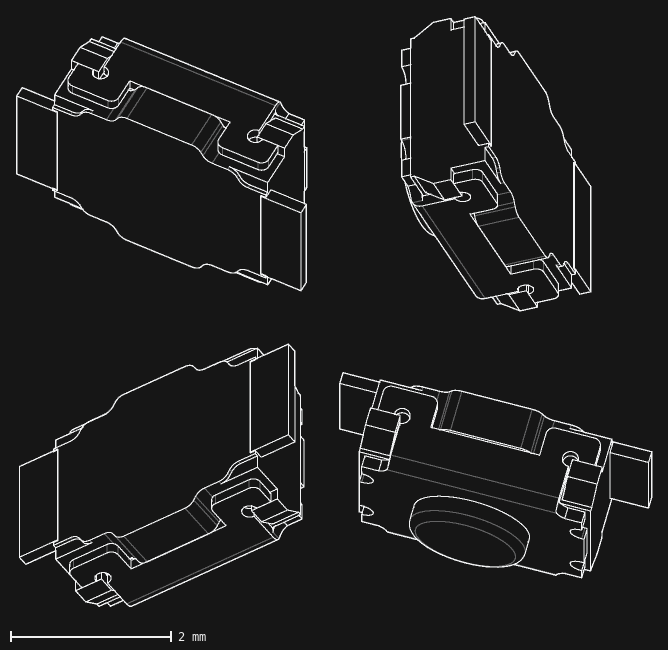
import cadquery as cq
import math


base_half_width = 1.5
base_half_height = 1.05
base_front = 0.0125
base_back = 1.06

tongue_half_width = 0.455
tongue_half_height = 1.25
tongue_back = 0.556

shoulder_radius = 0.15
shoulder_angle = math.radians(60)

relief_depth = 0.05
relief_inner_x = 0.96
relief_half_height = 0.85

lug_inner_x = 1.115
lug_front = 0.52
lug_flat_back = 0.755
lug_back = 1.01

terminal_end_x = 2.0
terminal_inner_x = 1.43
terminal_half_height = 0.8
terminal_thickness = 0.15

sheet = 0.15
plate_back = base_back + sheet
cover_half_height = 1.225
flange_inner_z = cover_half_height - sheet
flange_half_width = 1.09
flange_front = 0.571

leg_inner_x = 0.705
leg_outer_x = 1.405
leg_front = 0.17
leg_back = lug_front
leg_corner_radius = 0.1
keyhole_radius = 0.1

bend_relief = 0.002
bend_radius = sheet - bend_relief

middle_tab_x = 1.455
middle_tab_half_height = 0.41
edge_notch_radius = 0.15
corner_tab_x = 1.425
corner_tab_top = 0.962
corner_relief_radius = 0.2
corner_relief_z = 1.143

button_radius = 0.75
button_end = 1.51
button_edge_radius = 0.1


def four_way(quarter):
    """Complete a quarter in +X +Z by mirroring it across X = 0 and Z = 0."""
    half = quarter.union(quarter.mirror("YZ"))
    return half.union(half.mirror("XY"))


def block(x0, x1, y0, y1, z0, z1):
    return cq.Workplane("XY").box(x1 - x0, y1 - y0, z1 - z0, centered=False).translate((x0, y0, z0))


def xz_outline_at(y):
    """Workplane parallel to XZ at the given Y; a negative extrusion goes toward +Y."""
    return cq.Workplane("XZ", origin=(0, y, 0))


def add_shoulder(outline, x, z_high, z_low):
    """Continue an outline outward from (x, z_high) down to z_low by an S-shaped shoulder."""
    r = shoulder_radius
    arc_dx = r * math.sin(shoulder_angle)
    arc_dz = r * (1 - math.cos(shoulder_angle))
    mid_dx = r * math.sin(shoulder_angle / 2)
    mid_dz = r * (1 - math.cos(shoulder_angle / 2))
    slope_dx = (z_high - z_low - 2 * arc_dz) / math.tan(shoulder_angle)
    end_x = x + 2 * arc_dx + slope_dx
    return (
        outline.threePointArc((x + mid_dx, z_high - mid_dz), (x + arc_dx, z_high - arc_dz))
        .lineTo(end_x - arc_dx, z_low + arc_dz)
        .threePointArc((end_x - mid_dx, z_low + mid_dz), (end_x, z_low))
    )


def tongue_layer(y0, y1, has_relief):
    """Quarter slice of the base with the tongue, with or without the corner relief."""
    outline = xz_outline_at(y0).lineTo(0, tongue_half_height).lineTo(tongue_half_width, tongue_half_height)
    outline = add_shoulder(outline, tongue_half_width, tongue_half_height, base_half_height)
    side_z = base_half_height
    if has_relief:
        outline = outline.lineTo(relief_inner_x, base_half_height)
        outline = add_shoulder(outline, relief_inner_x, base_half_height, relief_half_height)
        side_z = relief_half_height
    outline = outline.lineTo(base_half_width, side_z).lineTo(base_half_width, 0)
    return outline.close().extrude(y0 - y1)


def corner_lug():
    """Corner lug with a sloped back, standing on the long wall of the base."""
    return (
        cq.Workplane("YZ", origin=(lug_inner_x, 0, 0))
        .moveTo(lug_front, base_half_height)
        .lineTo(lug_front, cover_half_height)
        .lineTo(lug_flat_back, cover_half_height)
        .lineTo(lug_back, base_half_height)
        .close()
        .extrude(base_half_width - lug_inner_x)
    )


def make_base():
    """Moulded base with its two flat terminals."""
    relief_back = base_front + relief_depth
    quarter = tongue_layer(base_front, relief_back, True)
    quarter = quarter.union(tongue_layer(relief_back, tongue_back, False))
    quarter = quarter.union(block(0, base_half_width, tongue_back, base_back, 0, base_half_height))
    quarter = quarter.union(corner_lug())
    terminal = block(terminal_inner_x, terminal_end_x, 0, terminal_thickness, 0, terminal_half_height)
    return four_way(quarter.union(terminal))


def plate_quarter():
    """Quarter of the cover plate, with the tabs and notches of its short edge."""
    notch_center_z = middle_tab_half_height + edge_notch_radius
    notch_top = notch_center_z + edge_notch_radius
    relief_center_x = flange_half_width + corner_relief_radius
    relief_angle = math.asin((corner_relief_z - corner_tab_top) / corner_relief_radius)

    def relief_point(angle):
        return (
            relief_center_x - corner_relief_radius * math.cos(angle),
            corner_relief_z - corner_relief_radius * math.sin(angle),
        )

    return (
        xz_outline_at(base_back)
        .lineTo(middle_tab_x, 0)
        .lineTo(middle_tab_x, middle_tab_half_height)
        .lineTo(corner_tab_x, middle_tab_half_height)
        .threePointArc((corner_tab_x - edge_notch_radius, notch_center_z), (corner_tab_x, notch_top))
        .lineTo(corner_tab_x, corner_tab_top)
        .lineTo(*relief_point(relief_angle))
        .threePointArc(relief_point(relief_angle / 2), relief_point(0))
        .lineTo(flange_half_width, cover_half_height)
        .lineTo(0, cover_half_height)
        .close()
        .extrude(-sheet)
    )


def flange_quarter():
    """Quarter of the bent flanges: half a flange with one hooked leg."""
    flange = block(0, flange_half_width, flange_front, base_back, flange_inner_z, cover_half_height)
    leg = block(leg_inner_x, leg_outer_x, leg_front, leg_back, flange_inner_z, cover_half_height)
    leg = leg.edges("|Z and <Y").fillet(leg_corner_radius)
    link = block(leg_inner_x, flange_half_width, leg_back, flange_front, flange_inner_z, cover_half_height)
    keyhole = (
        cq.Workplane("XY", origin=(flange_half_width, leg_back, flange_inner_z))
        .circle(keyhole_radius)
        .extrude(sheet)
    )
    return flange.union(leg).union(link).cut(keyhole)


def make_cover():
    """Sheet cover with two bent flanges, and the round button standing on it."""
    quarter = plate_quarter().union(flange_quarter())
    shell = four_way(quarter)
    shell = shell.edges("|X and >Y").edges(">Z or <Z").fillet(bend_radius)
    button = (
        xz_outline_at(plate_back)
        .circle(button_radius)
        .extrude(plate_back - button_end)
        .faces(">Y")
        .edges()
        .fillet(button_edge_radius)
    )
    return shell.union(button)


base = make_base()
cover = make_cover()
result = cq.Compound.makeCompound([base.solids().val(), cover.solids().val()])